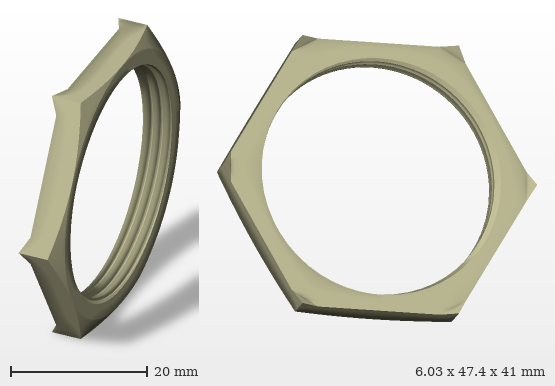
import cadquery as cq
import math

corner_diameter = 47.35
corner_radius = corner_diameter / 2
body_thickness = 4.7

tooth_height = 1.33
tooth_base_distance = corner_radius - tooth_height

chamfer_height = 1.33
chamfer_face_radius = 20.45

bore_radius = 17.7
thread_root_radius = 18.55
thread_pitch = 1.585
thread_half_angle = 40.0
thread_overlap = 0.05
thread_start_angle = 8.0
lead_in_turns = 2
thread_turns = 7


def hexagonal_blank():
    """Hexagonal prism from the tooth tips to the outer face."""
    return (
        cq.Workplane("YZ", origin=(-tooth_height, 0, 0))
        .polygon(6, corner_diameter)
        .extrude(body_thickness + tooth_height)
    )


def tooth_clearance():
    """Hexagonal recess whose sloping sides leave a tooth at each corner."""
    base_diameter = 2 * tooth_base_distance / math.cos(math.radians(30))
    tip_diameter = 2 * corner_radius / math.cos(math.radians(30))
    return (
        cq.Workplane("YZ", origin=(-tooth_height, 0, 0))
        .transformed(rotate=(0, 0, 30))
        .polygon(6, tip_diameter)
        .workplane(offset=tooth_height)
        .polygon(6, base_diameter)
        .loft(ruled=True)
    )


def chamfer_envelope():
    """Solid of revolution bounding the nut with the outer-face chamfer."""
    return (
        cq.Workplane("XY")
        .moveTo(-tooth_height, 0)
        .lineTo(-tooth_height, corner_radius)
        .lineTo(body_thickness - chamfer_height, corner_radius)
        .lineTo(body_thickness, chamfer_face_radius)
        .lineTo(body_thickness, 0)
        .close()
        .revolve(360, (0, 0, 0), (1, 0, 0))
    )


def bore():
    """Bore cylinder, its seam turned away from the start of the thread helix."""
    return (
        cq.Workplane("YZ", origin=(-tooth_height, 0, 0))
        .circle(bore_radius)
        .extrude(body_thickness + tooth_height)
        .rotate((0, 0, 0), (1, 0, 0), 180)
    )


def thread_cutter():
    """Right-hand V-shaped helical cutter, extending past both faces."""
    inner_radius = bore_radius - thread_overlap
    cutter_depth = thread_root_radius - inner_radius
    half_width = cutter_depth * math.tan(math.radians(thread_half_angle))
    helix = cq.Wire.makeHelix(thread_pitch, thread_turns * thread_pitch, inner_radius)
    cutter = (
        cq.Workplane("XZ")
        .moveTo(inner_radius, -half_width)
        .lineTo(thread_root_radius, 0)
        .lineTo(inner_radius, half_width)
        .close()
        .sweep(cq.Workplane(helix), isFrenet=True)
    )
    return (
        cutter.rotate((0, 0, 0), (0, 1, 0), 90)
        .rotate((0, 0, 0), (1, 0, 0), -90 - thread_start_angle)
        .translate((-lead_in_turns * thread_pitch, 0, 0))
    )


result = (
    hexagonal_blank()
    .intersect(chamfer_envelope())
    .cut(tooth_clearance())
    .cut(thread_cutter())
    .cut(bore())
)